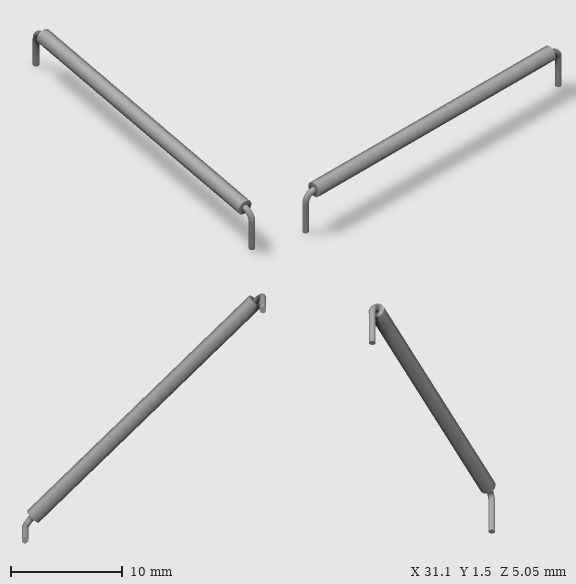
import cadquery as cq

overall_length = 31.08
overall_height = 5.05

wire_diameter = 0.6
sleeve_diameter = 1.5

bend_radius = 1.0

leg_x = (overall_length - wire_diameter) / 2
axis_z = overall_height - sleeve_diameter / 2
leg_length = axis_z - bend_radius
straight_half = leg_x - bend_radius


def make_leg(side):
    """Vertical leg and quarter bend; side is -1 for -X and +1 for +X."""
    leg = (
        cq.Workplane("XY")
        .center(side * leg_x, 0)
        .circle(wire_diameter / 2)
        .extrude(leg_length)
    )
    bend = (
        leg.faces(">Z")
        .workplane(origin=(side * leg_x, 0, leg_length))
        .circle(wire_diameter / 2)
        .revolve(90, (-side * bend_radius, 0), (-side * bend_radius, -side), combine=False)
    )
    return leg.union(bend)


sleeve = (
    cq.Workplane("YZ", origin=(-straight_half, 0, axis_z))
    .circle(sleeve_diameter / 2)
    .extrude(2 * straight_half)
)

result = sleeve
for side in (-1, 1):
    result = result.union(make_leg(side))